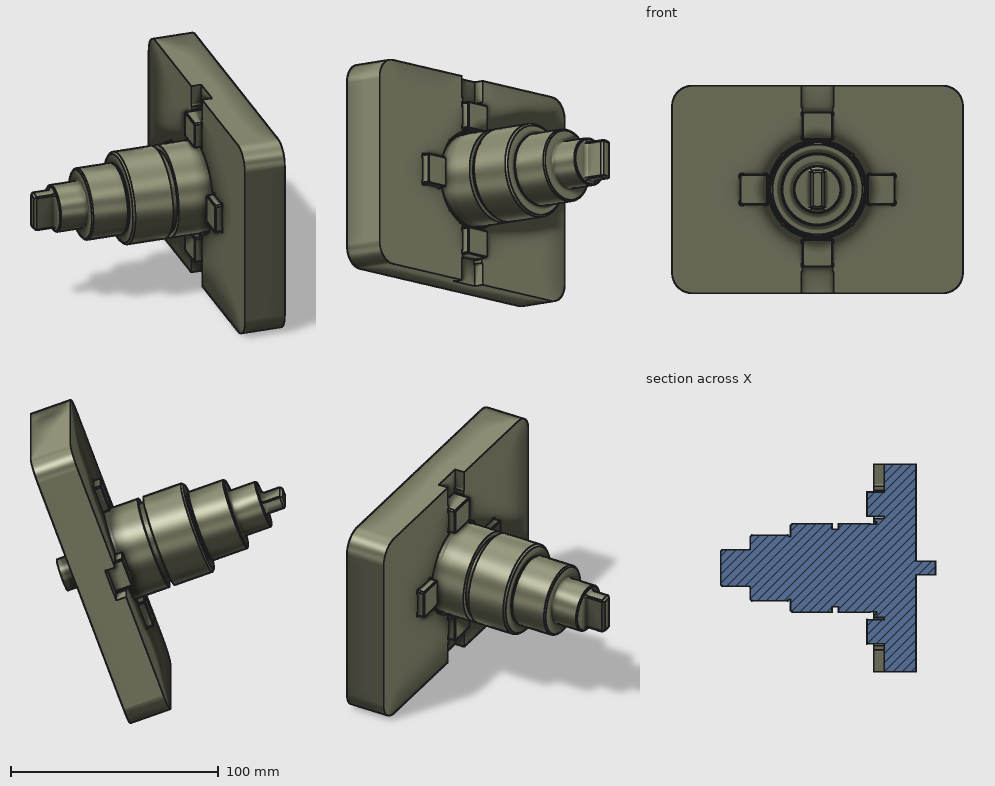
import cadquery as cq
import math


PLATE_WIDTH = 140.0
PLATE_HEIGHT = 100.0
PLATE_THICKNESS = 20.5
PLATE_CORNER_RADIUS = 10.0
BACK_PIN_DIAMETER = 16.0
BACK_PIN_LENGTH = 9.4

KEY_WIDTH = 14.5
KEY_INNER_RADIUS = 24.1
KEY_OUTER_RADIUS = 37.2
KEY_PROTRUSION = 3.6
KEY_SIDE_CHAMFER = 0.7
KEY_FRONT_CHAMFER = 0.4
POCKET_DEPTH = 5.0
RELIEF_DIAMETER = 3.0
RELIEF_OVERCUT = 0.5

SLOT_WIDTH = KEY_WIDTH + 2 * RELIEF_OVERCUT
SLOT_INNER_RADIUS = 39.2
SLOT_CORNER_RADIUS = 1.05

RECESS_DIAMETER = 46.5
RECESS_DEPTH = 1.4
RECESS_CHAMFER = 0.5
NOTCH_DIAMETER = 1.7
NOTCH_CENTER_RADIUS = 23.4

NECK_DIAMETER = 45.0
NECK_END = 1.1
BODY_DIAMETER = 45.2
BODY_START = 2.0
BODY_END = 40.0
BODY_CHAMFER = 1.0
GROOVE_DIAMETER = 40.2
GROOVE_START = 17.0
GROOVE_END = 19.9
COLLAR_DIAMETER = 35.0
COLLAR_START = 40.6
COLLAR_END = 59.4
COLLAR_CHAMFER = 0.7
NOSE_DIAMETER = 23.0
NOSE_END = 73.5
NOSE_CHAMFER = 0.5
NOSE_BASE_FILLET = 0.7

TONGUE_TIP = 83.7
TONGUE_WIDTH = 6.3
TONGUE_DIAMETER = 18.8
TONGUE_CORNER_WIDTH = 0.7
TONGUE_CORNER_HEIGHT = 1.1
TONGUE_TIP_CHAMFER = 1.1
TONGUE_BASE_FILLET = 1.7


def forward_cylinder(diameter, start, end):
    """Cylinder on the shaft axis between two distances in front of the plate."""
    return cq.Workplane("XZ", origin=(0, -start, 0)).circle(diameter / 2).extrude(end - start)


def forward_box(width, height, start, end, center_z=0.0):
    """Box centred on X = 0 between two distances in front of the plate."""
    base = cq.Workplane("XZ", origin=(0, -start, 0)).center(0, center_z)
    return base.rect(width, height).extrude(end - start)


def around_shaft(shape, angle):
    return shape.rotate((0, 0, 0), (0, 1, 0), angle)


def make_plate():
    plate = forward_box(PLATE_WIDTH, PLATE_HEIGHT, -PLATE_THICKNESS, 0)
    plate = plate.edges("|Y").fillet(PLATE_CORNER_RADIUS)
    back_pin = forward_cylinder(
        BACK_PIN_DIAMETER, -PLATE_THICKNESS - BACK_PIN_LENGTH, -PLATE_THICKNESS
    )
    return plate.union(back_pin)


KEY_LENGTH = KEY_OUTER_RADIUS - KEY_INNER_RADIUS
KEY_CENTER_Z = (KEY_OUTER_RADIUS + KEY_INNER_RADIUS) / 2


def make_key():
    """Chamfered block above the shaft, seated on its pocket floor."""
    key = forward_box(KEY_WIDTH, KEY_LENGTH, -POCKET_DEPTH, KEY_PROTRUSION, KEY_CENTER_Z)
    key = key.edges("|Y").chamfer(KEY_SIDE_CHAMFER)
    return key.faces("<Y").chamfer(KEY_FRONT_CHAMFER)


def make_pocket():
    """Key-sized pocket above the shaft with a round relief at each corner."""
    pocket = forward_box(KEY_WIDTH, KEY_LENGTH, -POCKET_DEPTH, 0, KEY_CENTER_Z)
    relief_inset = RELIEF_DIAMETER / 2 - RELIEF_OVERCUT
    reliefs = (
        cq.Workplane("XZ", origin=(0, POCKET_DEPTH, 0))
        .center(0, KEY_CENTER_Z)
        .rect(KEY_WIDTH - 2 * relief_inset, KEY_LENGTH - 2 * relief_inset, forConstruction=True)
        .vertices()
        .circle(RELIEF_DIAMETER / 2)
        .extrude(POCKET_DEPTH)
    )
    return pocket.union(reliefs)


def make_open_slot():
    """Slot from the upper pocket out through the top edge of the plate."""
    passage_height = PLATE_HEIGHT / 2 - KEY_CENTER_Z
    passage = forward_box(
        KEY_WIDTH, passage_height, -POCKET_DEPTH, 0, KEY_CENTER_Z + passage_height / 2
    )
    slot_height = PLATE_HEIGHT / 2 - SLOT_INNER_RADIUS
    slot = forward_box(
        SLOT_WIDTH, slot_height, -POCKET_DEPTH, 0, SLOT_INNER_RADIUS + slot_height / 2
    )
    slot = slot.faces("<Z").edges("|Y").fillet(SLOT_CORNER_RADIUS)
    return passage.union(slot)


def make_recess():
    """Chamfered round recess with four small notches between the keys."""
    mouth_diameter = RECESS_DIAMETER + 2 * RECESS_CHAMFER
    recess = forward_cylinder(mouth_diameter, -RECESS_DEPTH, 0)
    recess = recess.faces(">Y").chamfer(RECESS_DEPTH - 0.01, RECESS_CHAMFER)
    notches = (
        cq.Workplane("XZ", origin=(0, RECESS_DEPTH, 0))
        .polarArray(NOTCH_CENTER_RADIUS, 45, 360, 4)
        .circle(NOTCH_DIAMETER / 2)
        .extrude(RECESS_DEPTH)
    )
    return recess.union(notches)


def make_shaft():
    """Turned shaft, rooted in the plate at the recess floor."""
    neck_radius = NECK_DIAMETER / 2
    body_radius = BODY_DIAMETER / 2
    groove_radius = GROOVE_DIAMETER / 2
    collar_radius = COLLAR_DIAMETER / 2
    collar_edge_radius = collar_radius - COLLAR_CHAMFER
    nose_radius = NOSE_DIAMETER / 2
    fillet_middle = NOSE_BASE_FILLET * (1 - math.sqrt(0.5))
    profile = (
        cq.Workplane("XY")
        .moveTo(0, RECESS_DEPTH)
        .lineTo(neck_radius, RECESS_DEPTH)
        .lineTo(neck_radius, -NECK_END)
        .lineTo(body_radius, -BODY_START)
        .lineTo(body_radius, -GROOVE_START)
        .lineTo(groove_radius, -GROOVE_START)
        .lineTo(groove_radius, -GROOVE_END)
        .lineTo(body_radius, -GROOVE_END)
        .lineTo(body_radius, -BODY_END + BODY_CHAMFER)
        .lineTo(body_radius - BODY_CHAMFER, -BODY_END)
        .lineTo(collar_edge_radius, -BODY_END)
        .lineTo(collar_edge_radius, -COLLAR_START)
        .lineTo(collar_radius, -COLLAR_START - COLLAR_CHAMFER)
        .lineTo(collar_radius, -COLLAR_END + COLLAR_CHAMFER)
        .lineTo(collar_edge_radius, -COLLAR_END)
        .lineTo(nose_radius + NOSE_BASE_FILLET, -COLLAR_END)
        .threePointArc(
            (nose_radius + fillet_middle, -COLLAR_END - fillet_middle),
            (nose_radius, -COLLAR_END - NOSE_BASE_FILLET),
        )
        .lineTo(nose_radius, -NOSE_END)
        .lineTo(0, -NOSE_END)
        .close()
    )
    return profile.revolve(360, (0, 0, 0), (0, 1, 0))


def make_tongue():
    """Flat drive tongue with rounded ends and a chamfered tip."""
    half_width = TONGUE_WIDTH / 2
    half_height = TONGUE_DIAMETER / 2
    end_half_width = half_width - TONGUE_CORNER_WIDTH
    flank_half_height = half_height - TONGUE_CORNER_HEIGHT
    blade = (
        cq.Workplane("XZ", origin=(0, -NOSE_END, 0))
        .polyline(
            [
                (half_width, -flank_half_height),
                (half_width, flank_half_height),
                (end_half_width, half_height),
                (-end_half_width, half_height),
                (-half_width, flank_half_height),
                (-half_width, -flank_half_height),
                (-end_half_width, -half_height),
                (end_half_width, -half_height),
            ]
        )
        .close()
        .extrude(TONGUE_TIP - NOSE_END)
    )
    tip_wedge = forward_box(TONGUE_WIDTH, TONGUE_DIAMETER, NOSE_END, TONGUE_TIP)
    tip_wedge = tip_wedge.faces("<Y").edges("|Z").chamfer(TONGUE_TIP_CHAMFER)
    rounding = forward_cylinder(TONGUE_DIAMETER, NOSE_END, TONGUE_TIP)
    rounding = rounding.faces("<Y").chamfer(TONGUE_TIP_CHAMFER)
    return blade.intersect(tip_wedge).intersect(rounding)


def add_tongue(shaft):
    """Join the tongue with a base fillet, then chamfer the nose edge through that fillet."""
    joined = shaft.union(make_tongue())
    reach = TONGUE_DIAMETER / 2 + NOSE_CHAMFER
    base_edges = cq.selectors.BoxSelector(
        (-reach, -NOSE_END - NOSE_CHAMFER, -reach),
        (reach, -NOSE_END + NOSE_CHAMFER, reach),
        boundingbox=True,
    )
    joined = joined.edges(base_edges).fillet(TONGUE_BASE_FILLET)
    nose_radius = NOSE_DIAMETER / 2
    edge_ring = (
        cq.Workplane("XY")
        .moveTo(nose_radius - NOSE_CHAMFER, -NOSE_END)
        .lineTo(nose_radius, -NOSE_END + NOSE_CHAMFER)
        .lineTo(nose_radius + NOSE_CHAMFER, -NOSE_END + NOSE_CHAMFER)
        .lineTo(nose_radius + NOSE_CHAMFER, -NOSE_END - NOSE_CHAMFER)
        .lineTo(nose_radius - NOSE_CHAMFER, -NOSE_END - NOSE_CHAMFER)
        .close()
        .revolve(360, (0, 0, 0), (0, 1, 0))
    )
    return joined.cut(edge_ring)


plate = make_plate().cut(make_recess())
for angle in (0, 90, 180, 270):
    plate = plate.cut(around_shaft(make_pocket(), angle))
for angle in (0, 180):
    plate = plate.cut(around_shaft(make_open_slot(), angle))

result = plate.union(add_tongue(make_shaft()))
for angle in (0, 90, 180, 270):
    result = result.union(around_shaft(make_key(), angle))